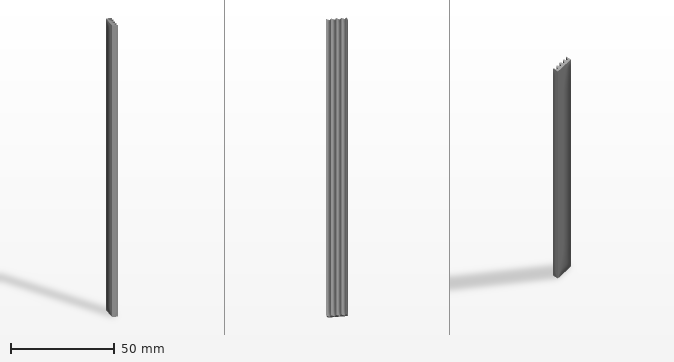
import cadquery as cq

width = 10.0
thickness = 3.0
length = 152.0

groove_count = 4
groove_depth = 2.1

groove_pitch = width / groove_count
valley_y = thickness / 2 - groove_depth


def toothed_outline():
    """Closed XY outline: flat front face, sharp ridges and valleys at the back."""
    left = -width / 2
    front = -thickness / 2
    back = thickness / 2
    points = [(left, front), (left, back)]
    for index in range(groove_count):
        groove_start = left + index * groove_pitch
        points.append((groove_start + groove_pitch / 2, valley_y))
        points.append((groove_start + groove_pitch, back))
    points.append((-left, front))
    return points


result = (
    cq.Workplane("XY")
    .workplane(offset=-length / 2)
    .polyline(toothed_outline())
    .close()
    .extrude(length)
)